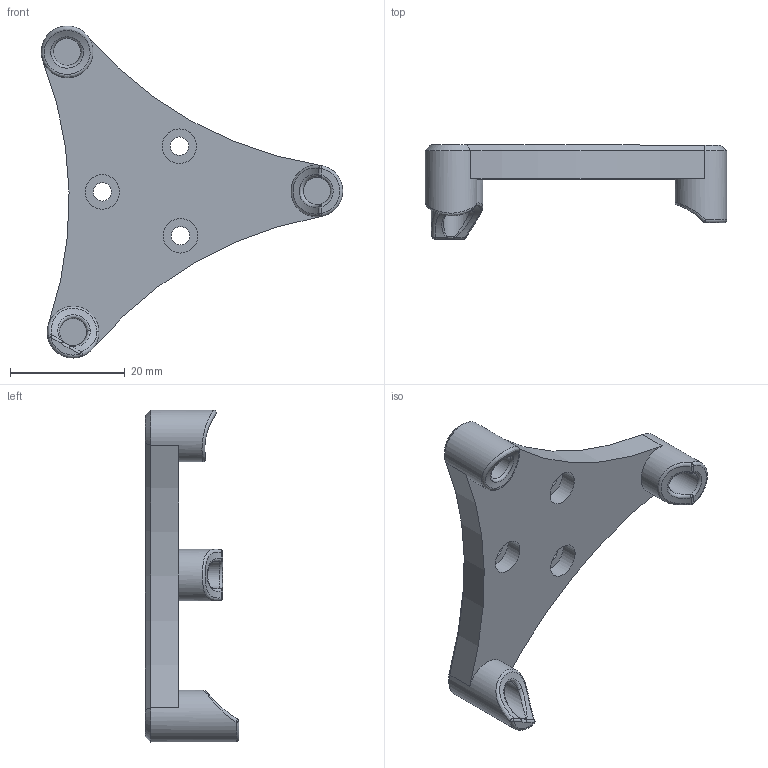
import math

import cadquery as cq

PLATE_THICKNESS = 5.9
BACK_CHAMFER = 1.0
SIDE_RADIUS = 66.5

SCREW_CIRCLE_RADIUS = 9.0
SCREW_COUNT = 3
SCREW_PATTERN_ANGLE = 60.7
SCREW_DIAMETER = 3.2
COUNTERBORE_DIAMETER = 6.0
COUNTERBORE_DEPTH = 2.9

LEG_DIAMETER = 9.0
LEG_RADIUS = LEG_DIAMETER / 2
BORE_DIAMETER = 4.75
BORE_FLOOR = PLATE_THICKNESS
TIP_ROUND = 0.5
LIP_ROUND = 0.48
LIP_RADIUS = BORE_DIAMETER / 2 + LIP_ROUND

SADDLE_RADIUS = 10.0

LEGS = [
    {
        "centre": (28.32, 0.05),
        "length": 13.5,
        "rise_angle": 0,
        "saddle_depth": 10.0,
        "saddle_offset": 7.1,
    },
    {
        "centre": (-14.09, -24.5),
        "length": 16.33,
        "rise_angle": 240,
        "saddle_depth": 10.0,
        "saddle_offset": 6.9,
    },
    {
        "centre": (-15.13, 24.26),
        "length": 14.0,
        "rise_angle": 90,
        "saddle_depth": 10.4,
        "saddle_offset": 2.15,
    },
]


def front_plane(depth=0):
    """Plane parallel to XZ at a given depth in front of the back; its normal is -Y."""
    return cq.Workplane("XZ", origin=(0, -depth, 0))


def side_points(start, end):
    """Start, middle and end of the concave arc tangent to two leg circles, going clockwise."""
    (x1, z1), (x2, z2) = start, end
    span = math.hypot(x2 - x1, z2 - z1)
    outward = math.atan2(z2 - z1, x2 - x1) + math.pi / 2
    centre_distance = SIDE_RADIUS + LEG_RADIUS
    half_angle = math.asin(span / 2 / centre_distance)
    height = centre_distance * math.cos(half_angle)
    centre_x = (x1 + x2) / 2 + height * math.cos(outward)
    centre_z = (z1 + z2) / 2 + height * math.sin(outward)
    inward = outward + math.pi
    return [
        (centre_x + SIDE_RADIUS * math.cos(angle), centre_z + SIDE_RADIUS * math.sin(angle))
        for angle in (inward - half_angle, inward, inward + half_angle)
    ]


def make_plate():
    """Three-sided plate whose corners are the leg centres; the legs complete its outline."""
    outline = front_plane().moveTo(*LEGS[0]["centre"])
    for i in range(len(LEGS)):
        next_centre = LEGS[(i + 1) % len(LEGS)]["centre"]
        start, middle, end = side_points(LEGS[i]["centre"], next_centre)
        outline = outline.lineTo(*start).threePointArc(middle, end).lineTo(*next_centre)
    return outline.close().extrude(PLATE_THICKNESS)


def tip_selector(leg, half_width):
    """Selector for the edges lying wholly in a box around a leg's tip."""
    x, z = leg["centre"]
    return cq.selectors.BoxSelector(
        (x - half_width, -leg["saddle_depth"] + TIP_ROUND, z - half_width),
        (x + half_width, -leg["length"] - TIP_ROUND, z + half_width),
        boundingbox=True,
    )


def make_leg(leg):
    """Full-length leg with its blind bore and its rounded, saddle-shaped tip."""
    x, z = leg["centre"]
    rise = math.radians(leg["rise_angle"])
    body = front_plane().center(x, z).circle(LEG_RADIUS).extrude(leg["length"])
    bore_length = leg["length"] - BORE_FLOOR
    bore = front_plane(BORE_FLOOR).center(x, z).circle(BORE_DIAMETER / 2).extrude(bore_length)

    axis = cq.Vector(-math.sin(rise), 0, math.cos(rise))
    middle = cq.Vector(
        x - leg["saddle_offset"] * math.cos(rise),
        -(leg["saddle_depth"] + SADDLE_RADIUS),
        z - leg["saddle_offset"] * math.sin(rise),
    )
    saddle = cq.Solid.makeCylinder(SADDLE_RADIUS, 2 * LEG_DIAMETER, middle - axis * LEG_DIAMETER, axis)
    body = body.cut(cq.Workplane(saddle))

    tip_edges = tip_selector(leg, LEG_DIAMETER)
    body = body.edges(tip_edges).edges("not |Y").fillet(TIP_ROUND)
    lip_edges = tip_selector(leg, LIP_RADIUS)
    return body.cut(bore).edges(lip_edges).edges("not |Y").fillet(LIP_ROUND)


def cut_screw_holes(body):
    for i in range(SCREW_COUNT):
        angle = math.radians(SCREW_PATTERN_ANGLE + i * 360 / SCREW_COUNT)
        x = SCREW_CIRCLE_RADIUS * math.cos(angle)
        z = SCREW_CIRCLE_RADIUS * math.sin(angle)
        hole = front_plane().center(x, z).circle(SCREW_DIAMETER / 2).extrude(PLATE_THICKNESS)
        counterbore_floor = PLATE_THICKNESS - COUNTERBORE_DEPTH
        counterbore = front_plane(counterbore_floor).center(x, z).circle(COUNTERBORE_DIAMETER / 2)
        body = body.cut(hole).cut(counterbore.extrude(COUNTERBORE_DEPTH))
    return body


result = make_plate()
for leg in LEGS:
    result = result.union(make_leg(leg))
result = result.faces(">Y").edges().chamfer(BACK_CHAMFER)
result = cut_screw_holes(result)